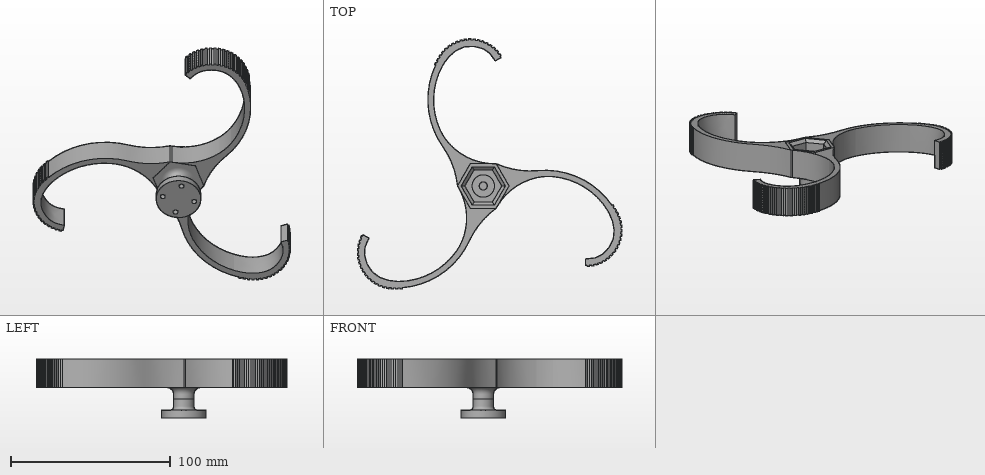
import cadquery as cq
import math

TOTAL_HEIGHT = 37.0
ARM_HEIGHT = 18.0
ARM_BOTTOM = TOTAL_HEIGHT - ARM_HEIGHT
JOINT_HEIGHT = 12.0

FLANGE_DIAMETER = 28.0
FLANGE_THICKNESS = 5.0
POST_DIAMETER = 13.0
POST_FILLET = 2.0
SCREW_HOLE_DIAMETER = 3.0
SCREW_HOLE_COUNT = 4
SCREW_CIRCLE_RADIUS = 10.0
PIN_DIAMETER = 5.0

HEX_FLATS = 28.0
NECK_FILLET = 4.0
SOCKET_FLATS = 20.0
SOCKET_CHAMFER = 2.0
SOCKET_DEPTH = 10.0
BORE_DIAMETER = 14.0
BORE_DEPTH = 5.0
PIN_HOLE_DIAMETER = 5.1
SOCKET_FLOOR = TOTAL_HEIGHT - SOCKET_DEPTH
BORE_FLOOR = SOCKET_FLOOR - BORE_DEPTH

ARM_COUNT = 3
HEX_APOTHEM = HEX_FLATS / 2
HEX_CORNER_RADIUS = HEX_FLATS / math.sqrt(3)

BACK_CENTER = (16.1, 54.0)
BACK_RADIUS = 50.85
TIP_CENTER = (-8.1, 69.2)
ROOT_RADIUS = 52.4
ROOT_OUTER_END = (-25.55, 24.6)
INNER_START = (6.93, HEX_APOTHEM)
INNER_ARCS = [
    ((-21.15, 26.38), 38.0),
    ((-26.88, 35.01), 33.7),
    ((-27.82, 70.3), 44.8),
]
TIP_INNER_POINTS = [(-21.44, 80.88), (-11.86, 86.96), (-0.42, 85.92), (7.5, 78.15)]
TIP_INNER_START_HEADING = 68.4
TIP_INNER_END_HEADING = -61.0
TIP_END_ANGLE = 30.0

TOOTH_COUNT = 19
TOOTH_HEIGHT = 0.7
TOOTH_PITCH_ANGLE = 7.05
TOOTH_ANGLE = 3.5
FIRST_TOOTH_ANGLE = 34.5
WEDGE_INNER_RADIUS = 21.0
WEDGE_OUTER_RADIUS = 30.0


def across_corners(flats):
    """Width of a hexagon across its corners."""
    return flats * 2 / math.sqrt(3)


def polar(center, radius, angle):
    """Point at a radius and an angle in degrees from a centre."""
    a = math.radians(angle)
    return (center[0] + radius * math.cos(a), center[1] + radius * math.sin(a))


def direction(start, end):
    """Angle in degrees, from 0 to 360, of the line from start to end."""
    return math.degrees(math.atan2(end[1] - start[1], end[0] - start[0])) % 360


def hex_prism(flats, bottom, height):
    return cq.Workplane("XY").workplane(offset=bottom).polygon(6, across_corners(flats)).extrude(height)


def cylinder(diameter, bottom, top):
    return cq.Workplane("XY").workplane(offset=bottom).circle(diameter / 2).extrude(top - bottom)


def make_base():
    post_r = POST_DIAMETER / 2
    fillet_top = FLANGE_THICKNESS + POST_FILLET
    profile = (
        cq.Workplane("XZ")
        .lineTo(FLANGE_DIAMETER / 2, 0)
        .lineTo(FLANGE_DIAMETER / 2, FLANGE_THICKNESS)
        .lineTo(post_r + POST_FILLET, FLANGE_THICKNESS)
        .radiusArc((post_r, fillet_top), POST_FILLET)
        .lineTo(post_r, JOINT_HEIGHT)
        .lineTo(PIN_DIAMETER / 2, JOINT_HEIGHT)
        .lineTo(PIN_DIAMETER / 2, BORE_FLOOR)
        .lineTo(0, BORE_FLOOR)
        .close()
    )
    base = profile.revolve(360, (0, 0, 0), (0, 1, 0))
    holes = (
        cq.Workplane("XY")
        .polarArray(SCREW_CIRCLE_RADIUS, 0, 360, SCREW_HOLE_COUNT)
        .circle(SCREW_HOLE_DIAMETER / 2)
        .extrude(FLANGE_THICKNESS)
    )
    return base.cut(holes)


def make_hub():
    neck_r = POST_DIAMETER / 2
    neck = (
        cq.Workplane("XZ")
        .moveTo(0, JOINT_HEIGHT)
        .lineTo(neck_r, JOINT_HEIGHT)
        .lineTo(neck_r, ARM_BOTTOM - NECK_FILLET)
        .radiusArc((neck_r + NECK_FILLET, ARM_BOTTOM), NECK_FILLET)
        .lineTo(0, ARM_BOTTOM)
        .close()
        .revolve(360, (0, 0, 0), (0, 1, 0))
    )
    hub = hex_prism(HEX_FLATS, ARM_BOTTOM, ARM_HEIGHT).union(neck)
    socket = hex_prism(SOCKET_FLATS, SOCKET_FLOOR, SOCKET_DEPTH)
    mouth_flats = SOCKET_FLATS + 2 * SOCKET_CHAMFER
    mouth = (
        cq.Workplane("XY")
        .workplane(offset=TOTAL_HEIGHT - SOCKET_CHAMFER)
        .polygon(6, across_corners(SOCKET_FLATS))
        .workplane(offset=SOCKET_CHAMFER)
        .polygon(6, across_corners(mouth_flats))
        .loft(ruled=True)
    )
    bore = cylinder(BORE_DIAMETER, BORE_FLOOR, SOCKET_FLOOR)
    pin_hole = cylinder(PIN_HOLE_DIAMETER, JOINT_HEIGHT, BORE_FLOOR)
    return hub.cut(socket).cut(mouth).cut(bore).cut(pin_hole)


def arm_blank(extra):
    """First arm, with its back and tip arcs moved outwards by `extra`."""
    back_r = BACK_RADIUS + extra
    tip_r = back_r - math.dist(BACK_CENTER, TIP_CENTER)
    tangent_angle = direction(BACK_CENTER, TIP_CENTER)
    root_angle = direction(BACK_CENTER, ROOT_OUTER_END)
    back_start = polar(BACK_CENTER, back_r, root_angle)
    back_middle = polar(BACK_CENTER, back_r, (root_angle + tangent_angle) / 2)
    back_end = polar(BACK_CENTER, back_r, tangent_angle)
    tip_middle = polar(TIP_CENTER, tip_r, (tangent_angle + TIP_END_ANGLE) / 2)
    tip_end = polar(TIP_CENTER, tip_r, TIP_END_ANGLE)

    outline = (
        cq.Workplane("XY")
        .workplane(offset=ARM_BOTTOM)
        .moveTo(-HEX_CORNER_RADIUS, 0)
        .lineTo(-HEX_CORNER_RADIUS / 2, HEX_APOTHEM)
        .lineTo(*INNER_START)
    )
    for arc_end, radius in INNER_ARCS:
        outline = outline.radiusArc(arc_end, radius)
    headings = [TIP_INNER_START_HEADING, TIP_INNER_END_HEADING]
    tip_tangents = [polar((0, 0), 1, heading) for heading in headings]
    return (
        outline.spline(TIP_INNER_POINTS, tangents=tip_tangents, includeCurrent=True)
        .lineTo(*tip_end)
        .threePointArc(tip_middle, back_end)
        .threePointArc(back_middle, back_start)
        .radiusArc((-HEX_CORNER_RADIUS, 0), ROOT_RADIUS)
        .close()
        .extrude(ARM_HEIGHT)
    )


def tooth_wedges():
    """Radial wedges about the tip centre, one per tooth, from inside the wall to beyond the teeth."""
    wedges = cq.Workplane("XY").workplane(offset=ARM_BOTTOM)
    for i in range(TOOTH_COUNT):
        start = FIRST_TOOTH_ANGLE + i * TOOTH_PITCH_ANGLE - TOOTH_ANGLE / 2
        end = start + TOOTH_ANGLE
        wedges = (
            wedges.moveTo(*polar(TIP_CENTER, WEDGE_INNER_RADIUS, start))
            .lineTo(*polar(TIP_CENTER, WEDGE_OUTER_RADIUS, start))
            .lineTo(*polar(TIP_CENTER, WEDGE_OUTER_RADIUS, end))
            .lineTo(*polar(TIP_CENTER, WEDGE_INNER_RADIUS, end))
            .close()
        )
    return wedges.extrude(ARM_HEIGHT)


def make_arm():
    arm = arm_blank(0)
    teeth = arm_blank(TOOTH_HEIGHT).intersect(tooth_wedges())
    return arm.union(teeth)


base = make_base()
hub = make_hub()
first_arm = make_arm()
arms = [first_arm.rotate((0, 0, 0), (0, 0, 1), i * 360 / ARM_COUNT) for i in range(ARM_COUNT)]
result = cq.Compound.makeCompound([base.val(), hub.val(), *[arm.val() for arm in arms]])